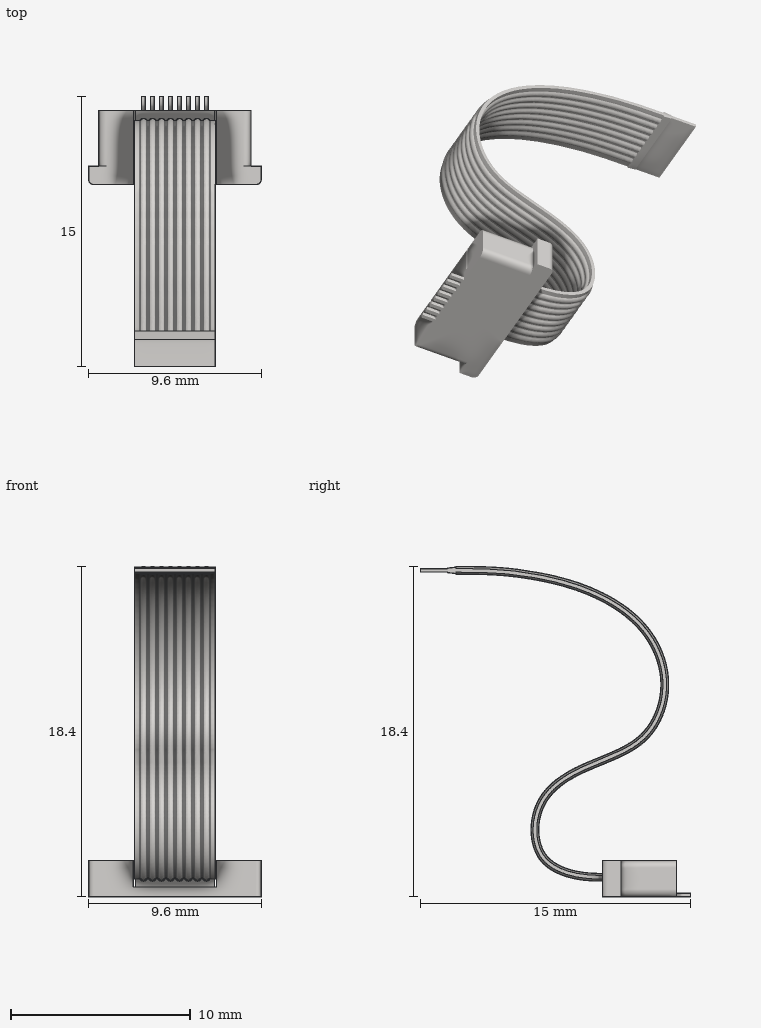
import cadquery as cq
import math


conductor_count = 8
conductor_pitch = 0.5
conductor_width = 0.22

housing_height = 2.02
housing_depth = 4.13
body_width = 8.48
body_rounding = 0.4
flange_width = 9.6
flange_depth = 1.03
flange_rounding = 0.3
slot_width = 4.6
slot_floor = 0.55

plug_width = 4.4

pin_length = 0.77
pin_height = 0.2

cable_width = 4.5
rib_diameter = 0.44
web_thickness = 0.2
cable_start_height = 1.08
cable_end_height = 18.36 - rib_diameter / 2
cable_end_y = -8.13
bend_points = [
    (-2.13, 1.4),
    (-3.23, 2.11),
    (-3.75, 3.73),
    (-3.18, 5.56),
    (-1.95, 6.66),
    (0.37, 7.73),
    (2.37, 8.95),
    (3.47, 11.71),
    (2.48, 14.67),
    (-0.25, 16.78),
    (-3.41, 17.77),
    (-6.05, 18.1),
]

taper_length = 0.48
taper_start_thickness = 0.37
taper_end_thickness = 0.25
tip_length = 1.5
tip_thickness = 0.18

conductor_places = [
    (i - (conductor_count - 1) / 2) * conductor_pitch for i in range(conductor_count)
]


def block(width, y_start, y_end, z_bottom, z_top, x_center=0.0):
    """A box centred on x_center, given by its width and its limits along Y and Z."""
    box = cq.Workplane("XY").box(width, y_end - y_start, z_top - z_bottom, centered=(True, False, False))
    return box.translate((x_center, y_start, z_bottom))


def make_housing():
    """Rounded body with a wider front flange and a slot for the plug, open at the top and both ends."""
    body = block(body_width, flange_depth, housing_depth, 0, housing_height)
    body = body.edges("|Y").fillet(body_rounding)
    flange = block(flange_width, 0, flange_depth, 0, housing_height)
    flange = flange.edges("|Z and <Y").fillet(flange_rounding)
    slot = block(slot_width, 0, housing_depth, slot_floor, housing_height)
    return flange.union(body, clean=False).cut(slot, clean=False)


def cable_profile():
    """Cross-section of the cable: a flat web with a round rib along every conductor."""
    half_web = web_thickness / 2
    half_width = cable_width / 2
    rib_radius = rib_diameter / 2
    half_chord = math.sqrt(rib_radius**2 - half_web**2)
    profile = cq.Workplane("XZ", origin=(0, 0, cable_start_height)).moveTo(-half_width, half_web)
    for x in conductor_places:
        profile = profile.lineTo(x - half_chord, half_web)
        profile = profile.threePointArc((x, rib_radius), (x + half_chord, half_web))
    profile = profile.lineTo(half_width, half_web).lineTo(half_width, -half_web)
    for x in reversed(conductor_places):
        profile = profile.lineTo(x + half_chord, -half_web)
        profile = profile.threePointArc((x, -rib_radius), (x - half_chord, -half_web))
    return profile.lineTo(-half_width, -half_web).close()


def make_ribbed_cable():
    """Ribbed section swept along the S-bend, leaving the plug and reaching the tip level."""
    path_points = [(0, cable_start_height), *bend_points, (cable_end_y, cable_end_height)]
    path = cq.Workplane("YZ").spline(path_points, tangents=[(-1, 0), (-1, 0)], scale=False)
    return cable_profile().sweep(path)


def make_taper():
    """Wedge from the ribbed cable down towards the flat tip."""
    return (
        cq.Workplane("XZ", origin=(0, cable_end_y, cable_end_height))
        .rect(cable_width, taper_start_thickness)
        .workplane(offset=taper_length)
        .rect(cable_width, taper_end_thickness)
        .loft()
    )


def make_tip():
    """Flat tip made of bare conductor strips alternating with strips of insulation."""
    tip_start = cable_end_y - taper_length
    half_conductor = conductor_width / 2
    seams = [x + side * half_conductor for x in conductor_places for side in (-1, 1)]
    edges = [-cable_width / 2, *seams, cable_width / 2]
    bottom = cable_end_height - tip_thickness / 2
    top = cable_end_height + tip_thickness / 2
    tip = cq.Workplane("XY")
    for left, right in zip(edges, edges[1:]):
        strip = block(right - left, tip_start - tip_length, tip_start, bottom, top, (left + right) / 2)
        tip = tip.union(strip, clean=False)
    return tip


def make_cable():
    """Plug, ribbed cable, taper and tip as one solid."""
    plug = block(plug_width, 0, housing_depth, slot_floor, housing_height)
    cable = plug.union(make_ribbed_cable()).union(make_taper())
    return cable.union(make_tip(), clean=False)


def make_pin(x):
    """Solder pin behind the housing, lying on the mounting plane."""
    return block(conductor_width, housing_depth, housing_depth + pin_length, 0, pin_height, x)


housing = make_housing()
cable = make_cable()
pins = [make_pin(x) for x in conductor_places]

result = cq.Compound.makeCompound([housing.val(), cable.val(), *[pin.val() for pin in pins]])